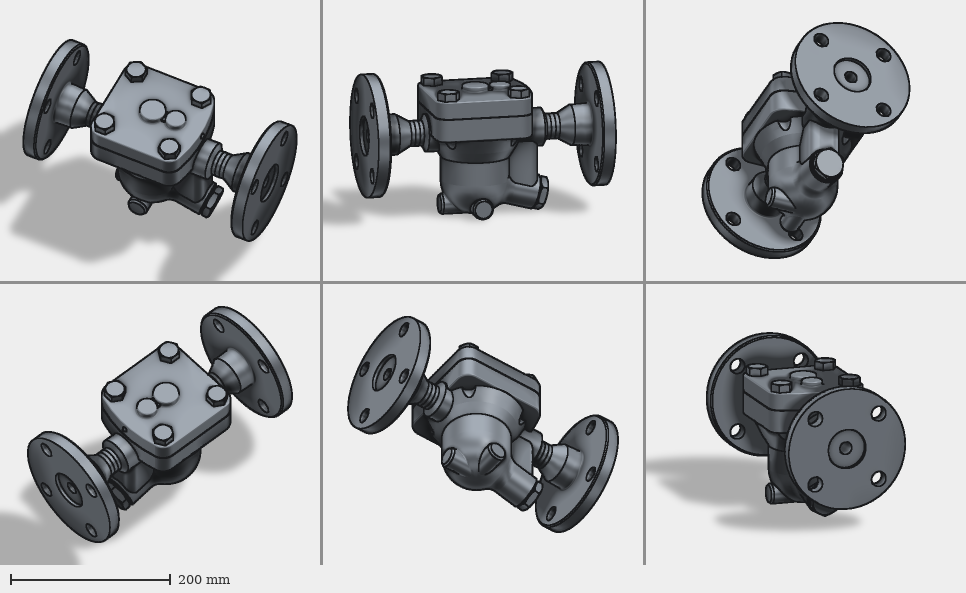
import cadquery as cq
import math

OVERLAP = 3.0

LENGTH = 306.0
FLANGE_DIA = 155.0
FLANGE_THICKNESS = 16.8
FLANGE_EDGE_CHAMFER = 1.8
BOLT_HOLE_DIA = 19.0
BOLT_HOLE_PITCH = 84.5
RECESS_DIA = 50.0
RECESS_DEPTH = 5.0
BORE_DIA = 16.0
PORT_DIA = 48.0
PORT_END = 74.7
PORT_TAPER_END = 79.3
NECK_DIA = 32.0
WELD_DIA = 32.5
WELD_START = 84.5
WELD_END = 90.3
HUB_TAPER_START = 95.8
HUB_TAPER_END = 113.0
HUB_SMALL_DIA = 51.5
HUB_LARGE_DIA = 53.0
HUB_FLARE = 2.8

TOTAL_HEIGHT = 184.0
BODY_X = -10.0
BODY_RADIUS = 43.8
BOTTOM_Z = FLANGE_DIA / 2 - TOTAL_HEIGHT
DOME_Z = BOTTOM_Z + BODY_RADIUS
CONE_BOTTOM_Z = -32.5
SHOULDER_Z = -18.7
SHOULDER_RADIUS = 52.0
CONE_TOP_RADIUS = 61.5

CLAMP_BOTTOM_Z = 0.0
PARTING_Z = 29.7
GASKET_THICKNESS = 0.5
GASKET_INSET = 0.3
COVER_TOP_Z = 51.7
COVER_WIDTH = 125.0
COVER_RIGHT_X = 58.8
COVER_BULGE_RADIUS = 174.5
LEFT_CORNER_RADIUS = 17.0
RIGHT_CORNER_RADIUS = 18.7
CLAMP_EDGE_FILLET = 2.8
COVER_EDGE_FILLET = 1.8

BOLT_OFFSET = 45.3
BOLT_FLATS = 24.0
BOLT_TOP_Z = 61.8
BOLT_CHAMFER_DEPTH = 1.0
HEAD_TURN = 30.0
CLEARANCE_DIA = 19.0
CLEARANCE_DEPTH = 18.5

PAD_TOP_Z = 58.8
LARGE_PAD_DIA = 33.0
SMALL_PAD_DIA = 26.0
SMALL_PAD_X = 21.7
PAD_FILLET = 1.8
PAD_FOOT = 2.5
BRIDGE_WIDTH = 14.0
BRIDGE_TOP_Z = 54.8
NUB_BASE_DIA = 7.3
NUB_TIP_DIA = 3.0
NUB_TIP_X = 61.8
NUB_Z = 43.5

PLUG_DIA = 26.0
PLUG_FACE_DIA = 22.0
PLUG_CHAMFER_LENGTH = 3.0
PLUG_REACH = 46.2
PLUG_Z = -92.5
PLUG_BLEND = 1.8

STRAINER_TILT = 15.0
STRAINER_DIA = 44.0
STRAINER_LENGTH = 80.2
STRAINER_CHAMFER = 1.2
STRAINER_BLEND = 18.5
COLLAR_DIA = 38.0
COLLAR_LENGTH = 1.2
CAP_FLATS = 36.5
CAP_LENGTH = 9.8
CAP_CHAMFER_DEPTH = 1.5
RIB_WIDTH = 40.5
RIB_END_X = 67.5
RIB_TOP_Z = -13.2
RIB_CORNER_RADIUS = 11.3


def cylinder_z(dia, bottom, top, x=0.0, y=0.0):
    return cq.Workplane("XY", origin=(x, y, bottom)).circle(dia / 2).extrude(top - bottom)


def hex_head(flats, height, chamfer_depth):
    """Hexagon standing on Z = 0 with its top corners bevelled down from the inscribed circle."""
    corner_radius = flats / 2 / math.cos(math.radians(30))
    bevel_slope = chamfer_depth / (corner_radius - flats / 2)
    bevel_spread = height / bevel_slope
    head = cq.Workplane("XY").polygon(6, 2 * corner_radius).extrude(height)
    profile = [(0, 0), (flats / 2 + bevel_spread, 0), (flats / 2, height), (0, height)]
    cone = cq.Workplane("XZ").polyline(profile).close().revolve(360, (0, 0), (0, 1))
    return head.intersect(cone)


def pipe_half():
    """Port, neck, hub and flange on the +X side."""
    end = LENGTH / 2
    flange_inner = end - FLANGE_THICKNESS
    hub_end = flange_inner - HUB_FLARE
    flare_radius = HUB_LARGE_DIA / 2 + HUB_FLARE
    rim = FLANGE_DIA / 2
    half = (
        cq.Workplane("XY")
        .moveTo(0, 0)
        .lineTo(0, PORT_DIA / 2)
        .lineTo(PORT_END, PORT_DIA / 2)
        .lineTo(PORT_TAPER_END, NECK_DIA / 2)
        .lineTo(WELD_START, NECK_DIA / 2)
        .lineTo(WELD_START, WELD_DIA / 2)
        .lineTo(WELD_END, WELD_DIA / 2)
        .lineTo(WELD_END, NECK_DIA / 2)
        .lineTo(HUB_TAPER_START, NECK_DIA / 2)
        .lineTo(HUB_TAPER_END, HUB_SMALL_DIA / 2)
        .lineTo(hub_end, HUB_LARGE_DIA / 2)
        .radiusArc((flange_inner, flare_radius), -HUB_FLARE)
        .lineTo(flange_inner, rim - FLANGE_EDGE_CHAMFER)
        .lineTo(flange_inner + FLANGE_EDGE_CHAMFER, rim)
        .lineTo(end, rim)
        .lineTo(end, 0)
        .close()
        .revolve(360, (0, 0), (1, 0))
    )
    face = cq.Workplane("YZ", origin=(end, 0, 0))
    holes = face.rect(BOLT_HOLE_PITCH, BOLT_HOLE_PITCH, forConstruction=True).vertices()
    half = half.cut(holes.circle(BOLT_HOLE_DIA / 2).extrude(-FLANGE_THICKNESS))
    half = half.cut(face.circle(RECESS_DIA / 2).extrude(-RECESS_DEPTH))
    return half.cut(face.circle(BORE_DIA / 2).extrude(PORT_END - end))


def bowl():
    """Solid bowl, reaching a little into the clamped flange above it."""
    outline = (
        cq.Workplane("XZ", origin=(BODY_X, 0, 0))
        .moveTo(0, BOTTOM_Z)
        .radiusArc((BODY_RADIUS, DOME_Z), -BODY_RADIUS)
        .lineTo(BODY_RADIUS, CONE_BOTTOM_Z)
        .lineTo(SHOULDER_RADIUS, SHOULDER_Z)
        .lineTo(CONE_TOP_RADIUS, CLAMP_BOTTOM_Z)
        .lineTo(CONE_TOP_RADIUS, CLAMP_BOTTOM_Z + OVERLAP)
        .lineTo(0, CLAMP_BOTTOM_Z + OVERLAP)
        .close()
    )
    return outline.revolve(360, (0, 0), (0, 1))


def cover_slab(bottom, top, inset=0.0):
    """Rounded square with a bowed +X side."""
    left = BODY_X - COVER_WIDTH / 2 + inset
    right = COVER_RIGHT_X - inset
    width = COVER_WIDTH - 2 * inset
    block = cq.Workplane("XY").box(right - left, width, top - bottom, centered=(False, True, False))
    bow_centre = right - COVER_BULGE_RADIUS
    bow = cylinder_z(2 * COVER_BULGE_RADIUS, bottom, top, bow_centre)
    bow = bow.rotate((bow_centre, 0, 0), (bow_centre, 0, 1), 180)
    slab = block.translate((left, 0, bottom)).intersect(bow)
    slab = slab.edges("|Z").edges("<X").fillet(LEFT_CORNER_RADIUS)
    return slab.edges("|Z").edges(">X").fillet(RIGHT_CORNER_RADIUS)


def clamp_and_cover():
    """Body flange and cover with a slightly smaller gasket between them."""
    clamp = cover_slab(CLAMP_BOTTOM_Z, PARTING_Z - GASKET_THICKNESS / 2)
    clamp = clamp.faces("<Z").edges().fillet(CLAMP_EDGE_FILLET)
    cover = cover_slab(PARTING_Z + GASKET_THICKNESS / 2, COVER_TOP_Z)
    cover = cover.faces(">Z").edges().fillet(COVER_EDGE_FILLET)
    gasket = cover_slab(PARTING_Z - OVERLAP, PARTING_Z + OVERLAP, GASKET_INSET)
    return clamp.union(gasket).union(cover)


def round_pad(dia, x):
    """Pad with a rounded top edge and a hollow fillet round its foot."""
    radius = dia / 2
    outline = (
        cq.Workplane("XZ", origin=(x, 0, 0))
        .moveTo(0, COVER_TOP_Z - OVERLAP)
        .lineTo(radius + PAD_FOOT, COVER_TOP_Z - OVERLAP)
        .lineTo(radius + PAD_FOOT, COVER_TOP_Z)
        .radiusArc((radius, COVER_TOP_Z + PAD_FOOT), PAD_FOOT)
        .lineTo(radius, PAD_TOP_Z - PAD_FILLET)
        .radiusArc((radius - PAD_FILLET, PAD_TOP_Z), -PAD_FILLET)
        .lineTo(0, PAD_TOP_Z)
        .close()
    )
    return outline.revolve(360, (0, 0), (0, 1))


def cover_pads():
    """Large and small pad joined by a low bridge."""
    bridge_length = SMALL_PAD_X - BODY_X
    bridge_height = BRIDGE_TOP_Z - COVER_TOP_Z + OVERLAP
    bridge = cq.Workplane("XY").box(bridge_length, BRIDGE_WIDTH, bridge_height, centered=(False, True, False))
    bridge = bridge.translate((BODY_X, 0, COVER_TOP_Z - OVERLAP))
    pads = round_pad(LARGE_PAD_DIA, BODY_X).union(round_pad(SMALL_PAD_DIA, SMALL_PAD_X))
    return pads.union(bridge)


def cover_nub():
    """Small tapered nub on the bowed side of the cover."""
    profile = [
        (COVER_RIGHT_X - OVERLAP, 0),
        (COVER_RIGHT_X - OVERLAP, NUB_BASE_DIA / 2),
        (COVER_RIGHT_X, NUB_BASE_DIA / 2),
        (NUB_TIP_X, NUB_TIP_DIA / 2),
        (NUB_TIP_X, 0),
    ]
    nub = cq.Workplane("XY").polyline(profile).close().revolve(360, (0, 0), (1, 0))
    return nub.translate((0, 0, NUB_Z))


def drain_plug():
    """Plug on the bowl, pointing to -Y."""
    straight = PLUG_REACH - PLUG_CHAMFER_LENGTH
    profile = [
        (0, 0),
        (PLUG_DIA / 2, 0),
        (PLUG_DIA / 2, -straight),
        (PLUG_FACE_DIA / 2, -PLUG_REACH),
        (0, -PLUG_REACH),
    ]
    plug = cq.Workplane("XY").polyline(profile).close().revolve(360, (0, 0), (0, 1))
    return plug.translate((BODY_X, 0, PLUG_Z))


def strainer():
    """Strainer neck and hexagon cap, drawn along Z from the dome centre, then laid over."""
    radius = STRAINER_DIA / 2
    blend_radial = radius + STRAINER_BLEND
    blend_reach = BODY_RADIUS + STRAINER_BLEND
    blend_axial = math.sqrt(blend_reach**2 - blend_radial**2)
    share = BODY_RADIUS / blend_reach
    neck = (
        cq.Workplane("XZ")
        .moveTo(0, 0)
        .lineTo(blend_radial * share, blend_axial * share)
        .radiusArc((radius, blend_axial), STRAINER_BLEND)
        .lineTo(radius, STRAINER_LENGTH - STRAINER_CHAMFER)
        .lineTo(radius - STRAINER_CHAMFER, STRAINER_LENGTH)
        .lineTo(0, STRAINER_LENGTH)
        .close()
        .revolve(360, (0, 0), (0, 1))
    )
    collar = cylinder_z(COLLAR_DIA, STRAINER_LENGTH - OVERLAP, STRAINER_LENGTH + COLLAR_LENGTH)
    cap = hex_head(CAP_FLATS, CAP_LENGTH, CAP_CHAMFER_DEPTH)
    flipped = cap.rotate((0, 0, 0), (1, 0, 0), 180).translate((0, 0, CAP_LENGTH))
    cap = cap.intersect(flipped)
    piece = neck.union(collar).union(cap.translate((0, 0, STRAINER_LENGTH + COLLAR_LENGTH)))
    piece = piece.rotate((0, 0, 0), (0, 1, 0), 90 + STRAINER_TILT)
    return piece.translate((BODY_X, 0, DOME_Z))


def rib():
    """Upright rib from the strainer axis up into the port."""
    foot_z = DOME_Z - (RIB_END_X - BODY_X) * math.tan(math.radians(STRAINER_TILT))
    side = cq.Workplane("XZ", origin=(0, RIB_WIDTH / 2, 0)).polyline(
        [(BODY_X, DOME_Z), (RIB_END_X, foot_z), (RIB_END_X, RIB_TOP_Z), (BODY_X, RIB_TOP_Z)]
    )
    return side.close().extrude(RIB_WIDTH).edges("|Z and >X").fillet(RIB_CORNER_RADIUS)


front_plug = drain_plug()
side_plug = front_plug.rotate((BODY_X, 0, 0), (BODY_X, 0, 1), -90)
vessel = bowl().union(side_plug).edges("%BSPLINE").fillet(PLUG_BLEND).union(front_plug)

port_side = pipe_half()
result = port_side.union(port_side.mirror("YZ")).union(vessel).union(rib()).union(strainer())

result = result.union(clamp_and_cover()).union(cover_pads()).union(cover_nub())

for side_x in (-1, 1):
    for side_y in (-1, 1):
        x = BODY_X + side_x * BOLT_OFFSET
        y = side_y * BOLT_OFFSET
        turn = 0 if side_x == side_y else HEAD_TURN
        bolt = hex_head(BOLT_FLATS, BOLT_TOP_Z - COVER_TOP_Z, BOLT_CHAMFER_DEPTH)
        bolt = bolt.rotate((0, 0, 0), (0, 0, 1), turn).translate((x, y, COVER_TOP_Z))
        shank_room = cylinder_z(CLEARANCE_DIA, CLAMP_BOTTOM_Z - CLEARANCE_DEPTH, CLAMP_BOTTOM_Z, x, y)
        result = result.union(bolt).cut(shank_room)